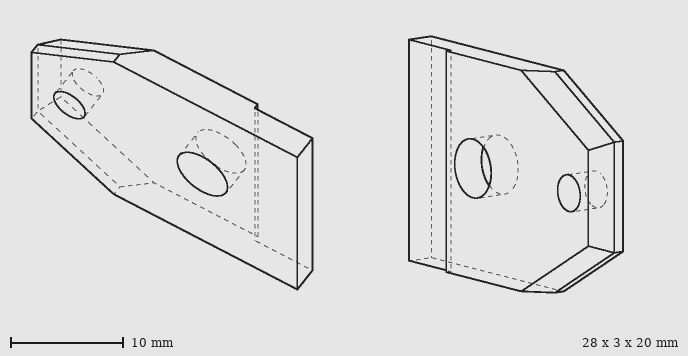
import cadquery as cq
import math

LENGTH = 28.0
HEIGHT = 20.0
THICKNESS = 3.0

NOSE_HEIGHT = 10.0
NOSE_ANGLE = 30.0
NOSE_LENGTH = (HEIGHT - NOSE_HEIGHT) / 2 / math.tan(math.radians(NOSE_ANGLE))

BEVEL_LAND = 1.0
BEVEL_ANGLE = 30.0
BEVEL_DEPTH = THICKNESS - BEVEL_LAND
BEVEL_INSET = BEVEL_DEPTH * math.tan(math.radians(BEVEL_ANGLE))

STEP_START = 21.9
STEP_DEPTH = 0.5

HOLES = [(4.0, 3.3), (18.0, 5.3)]


def plate_outline():
    """Outline in X and Z, listed from the lower nose corner."""
    return [
        (0, -NOSE_HEIGHT / 2),
        (NOSE_LENGTH, -HEIGHT / 2),
        (LENGTH, -HEIGHT / 2),
        (LENGTH, HEIGHT / 2),
        (NOSE_LENGTH, HEIGHT / 2),
        (0, NOSE_HEIGHT / 2),
    ]


def make_plate():
    return cq.Workplane("XZ").polyline(plate_outline()).close().extrude(-THICKNESS)


def bevel_cutter(edge_x, edge_z, tilt):
    """Wedge that bevels the nose side through (edge_x, edge_z), turned by tilt about Y."""
    wedge = (
        cq.Workplane("XY")
        .polyline([(0, BEVEL_LAND), (BEVEL_INSET, THICKNESS), (0, THICKNESS)])
        .close()
        .extrude(HEIGHT, both=True)
    )
    return wedge.rotate((0, 0, 0), (0, 1, 0), tilt).translate((edge_x, 0, edge_z))


def bevel_nose(plate):
    slant_tilt = 90 - NOSE_ANGLE
    half_nose = NOSE_HEIGHT / 2
    plate = plate.cut(bevel_cutter(0, 0, 0))
    plate = plate.cut(bevel_cutter(0, half_nose, slant_tilt))
    return plate.cut(bevel_cutter(0, -half_nose, -slant_tilt))


def cut_step(plate):
    step = cq.Workplane("XY").box(
        LENGTH - STEP_START, STEP_DEPTH, HEIGHT, centered=(False, False, True)
    )
    return plate.cut(step.translate((STEP_START, THICKNESS - STEP_DEPTH, 0)))


def drill_holes(plate):
    for x, diameter in HOLES:
        drill = cq.Workplane("XZ").center(x, 0).circle(diameter / 2).extrude(-THICKNESS)
        plate = plate.cut(drill)
    return plate


result = drill_holes(cut_step(bevel_nose(make_plate())))